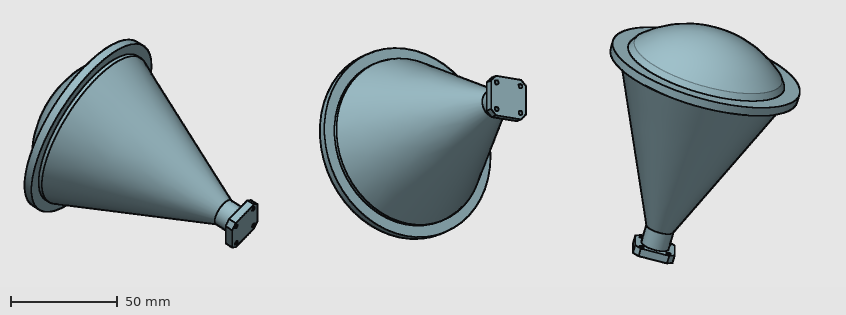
import cadquery as cq

lens_depth = 14.5
rim_front = 17.5
rim_back = 21.7
collar_back = 23.6
neck_start = 100.2
plate_front = 109.0
total_length = 112.9

lens_radius = 35.9
lens_skirt_radius = 38.0
rim_radius = 45.45
collar_radius = 40.0
neck_radius = 6.7

plate_side = 19.2
plate_corner_chamfer = 2.7
hole_spacing = 13.0
hole_diameter = 2.0

sphere_radius = (lens_radius**2 + lens_depth**2) / (2 * lens_depth)


def make_body():
    """Lens, rim, collar, cone and neck, turned about the X axis."""
    arc_middle_radius = lens_radius / 2
    arc_middle_x = sphere_radius - (sphere_radius**2 - arc_middle_radius**2) ** 0.5
    return (
        cq.Workplane("XY")
        .moveTo(0, 0)
        .threePointArc((arc_middle_x, arc_middle_radius), (lens_depth, lens_radius))
        .lineTo(rim_front, lens_skirt_radius)
        .lineTo(rim_front, rim_radius)
        .lineTo(rim_back, rim_radius)
        .lineTo(rim_back, collar_radius)
        .lineTo(collar_back, collar_radius)
        .lineTo(neck_start, neck_radius)
        .lineTo(plate_front, neck_radius)
        .lineTo(plate_front, 0)
        .close()
        .revolve(360, (0, 0, 0), (1, 0, 0))
    )


def make_plate():
    """Square plate with cut corners and four through holes."""
    return (
        cq.Workplane("YZ", origin=(plate_front, 0, 0))
        .rect(plate_side, plate_side)
        .extrude(total_length - plate_front)
        .edges("|X")
        .chamfer(plate_corner_chamfer)
        .faces("<X")
        .workplane(centerOption="CenterOfBoundBox")
        .rect(hole_spacing, hole_spacing, forConstruction=True)
        .vertices()
        .hole(hole_diameter)
    )


result = make_body().union(make_plate())